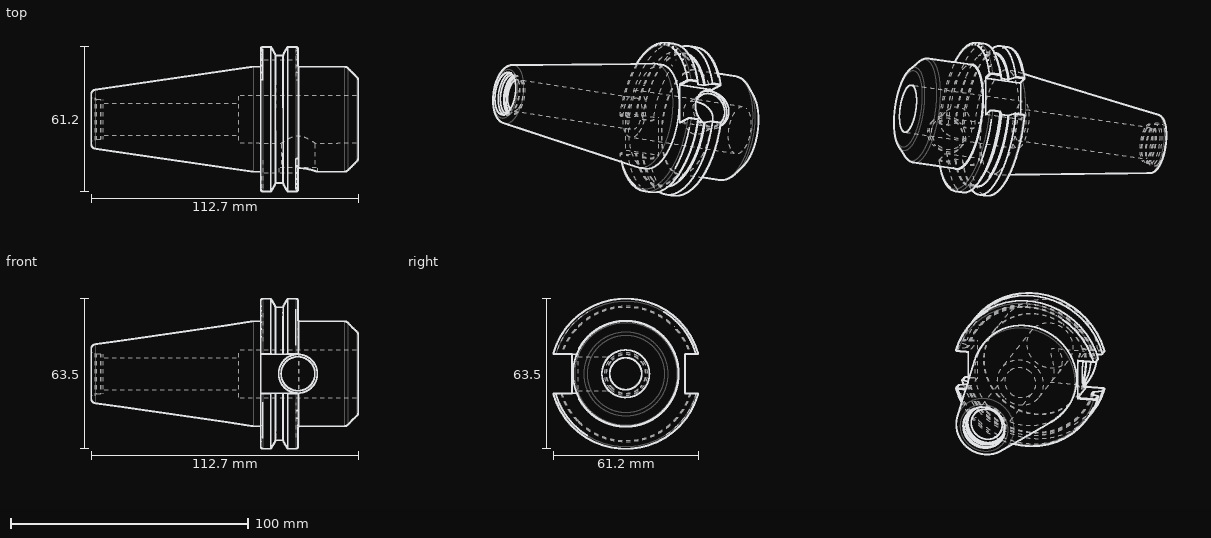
import cadquery as cq

length = 112.7

gauge_radius = 44.4 / 2
taper_end = 68.3
taper_slope = 7 / 48
small_end_radius = gauge_radius - taper_slope * taper_end
small_end_round = 2.1
nose_chamfer = 5.1
nose_round = 2.0

flange_radius = 63.5 / 2
flange_start = 71.5
flange_end = 87.3
flange_round = 1.0
flange_root_round = 0.2
groove_center = 79.3
groove_floor_radius = 28.2
groove_floor_round = 0.2
groove_mouth_width = 7.1
groove_flank_end = 28.6
relief_width = 3.4

slot_width = 16.3
slot_floor_front = 22.7
slot_floor_back = 25.0
slot_edge_chamfer = 0.3

through_radius = 13.4 / 2
pilot_radius = 16.8 / 2
pilot_depth = 3.8
mouth_radius = 18.1 / 2
thread_radius = 16.3 / 2
mouth_depth = 1.6
thread_depth = 4.8
shank_radius = 20.1 / 2
shank_depth = 50.7

screw_x = 87.2
screw_radius = 14.3 / 2
screw_recess_radius = 16.3 / 2
screw_recess_floor = 20.3


def cylinder(start, end, radius):
    """Cylinder on the X axis between two X positions."""
    return cq.Workplane("YZ").workplane(offset=start).circle(radius).extrude(end - start)


def make_body():
    """Taper and nose as one turned body."""
    body = (
        cq.Workplane("XY")
        .polyline([
            (0, 0),
            (0, small_end_radius),
            (taper_end, gauge_radius),
            (length - nose_chamfer, gauge_radius),
            (length, gauge_radius - nose_chamfer),
            (length, 0),
        ])
        .close()
        .revolve(360, (0, 0, 0), (1, 0, 0))
    )
    body = body.faces("<X").edges().fillet(small_end_round)
    chamfer_edges = body.edges(cq.selectors.BoxSelector(
        (length - nose_chamfer - 1.1, -flange_radius, -flange_radius),
        (length + 1.1, flange_radius, flange_radius),
        boundingbox=True,
    )).edges("%CIRCLE")
    return chamfer_edges.fillet(nose_round)


def make_groove():
    """Ring that cuts the V-groove and the relief at its floor."""
    outside = flange_radius + 1.1
    half_floor = relief_width / 2
    half_mouth = groove_mouth_width / 2
    ring = (
        cq.Workplane("XY")
        .polyline([
            (groove_center - half_floor, groove_floor_radius),
            (groove_center - half_floor, groove_flank_end),
            (groove_center - half_mouth, flange_radius),
            (groove_center - half_mouth, outside),
            (groove_center + half_mouth, outside),
            (groove_center + half_mouth, flange_radius),
            (groove_center + half_floor, groove_flank_end),
            (groove_center + half_floor, groove_floor_radius),
        ])
        .close()
        .revolve(360, (0, 0, 0), (1, 0, 0))
    )
    floor_edges = ring.edges(cq.selectors.RadiusNthSelector(0))
    return floor_edges.fillet(groove_floor_round)


def make_slot(side, floor):
    """Drive slot through the flange; side is -1 for -Y and +1 for +Y."""
    depth = flange_radius + 1.1 - floor
    return cq.Workplane("XY").box(flange_end - flange_start, depth, slot_width).translate(
        ((flange_start + flange_end) / 2, side * (floor + depth / 2), 0)
    )


def chamfer_slot_walls(flange):
    """Break the outer edges of the slot walls, leaving the groove edges sharp."""
    margin = 0.1
    half_mouth = groove_mouth_width / 2
    land_spans = [
        (flange_start - margin, groove_center - half_mouth + margin),
        (groove_center + half_mouth - margin, flange_end + margin),
    ]
    wall_heights = (-slot_width / 2, slot_width / 2)
    floor_to_rim = ((-flange_radius, -slot_floor_front), (slot_floor_back, flange_radius))
    for wall_z in wall_heights:
        for start, end in land_spans:
            for y_low, y_high in floor_to_rim:
                land_box = cq.selectors.BoxSelector(
                    (start, y_low - margin, wall_z - margin),
                    (end, y_high + margin, wall_z + margin),
                    boundingbox=True,
                )
                flange = flange.edges(land_box).chamfer(slot_edge_chamfer)
    return flange


def make_flange():
    """Grooved flange with both drive slots."""
    flange = cylinder(flange_start, flange_end, flange_radius).edges().fillet(flange_round)
    flange = flange.cut(make_groove())
    flange = flange.cut(make_slot(-1, slot_floor_front))
    flange = flange.cut(make_slot(1, slot_floor_back))
    return chamfer_slot_walls(flange)


def round_flange_root(part):
    """Small fillet where the back of the flange meets the nose."""
    margin = 0.01
    root_box = cq.selectors.BoxSelector(
        (flange_end - margin, -gauge_radius - margin, -gauge_radius - margin),
        (flange_end + margin, gauge_radius + margin, gauge_radius + margin),
        boundingbox=True,
    )
    return part.edges(root_box).edges("%CIRCLE").fillet(flange_root_round)


def make_pull_stud_bore():
    """Bore at the small end that steps down over two 45-degree shoulders."""
    pilot_start = mouth_depth + mouth_radius - pilot_radius
    thread_start = pilot_depth + pilot_radius - thread_radius
    return (
        cq.Workplane("XY")
        .polyline([
            (0, 0),
            (0, mouth_radius),
            (mouth_depth, mouth_radius),
            (pilot_start, pilot_radius),
            (pilot_depth, pilot_radius),
            (thread_start, thread_radius),
            (thread_depth, thread_radius),
            (thread_depth, 0),
        ])
        .close()
        .revolve(360, (0, 0, 0), (1, 0, 0))
    )


def make_screw_hole():
    """Screw hole from the -Y side into the shank bore, with a flat-bottomed recess."""
    outside = flange_radius + 1.1
    return (
        cq.Workplane("XY")
        .polyline([
            (screw_x, 0),
            (screw_x + screw_radius, 0),
            (screw_x + screw_radius, -screw_recess_floor),
            (screw_x + screw_recess_radius, -screw_recess_floor),
            (screw_x + screw_recess_radius, -outside),
            (screw_x, -outside),
        ])
        .close()
        .revolve(360, (screw_x, 0, 0), (screw_x, 1, 0))
    )


result = make_body().union(make_flange())
result = round_flange_root(result)
result = result.cut(cylinder(0, length, through_radius))
result = result.cut(make_pull_stud_bore())
result = result.cut(cylinder(length - shank_depth, length, shank_radius))
result = result.cut(make_screw_hole())